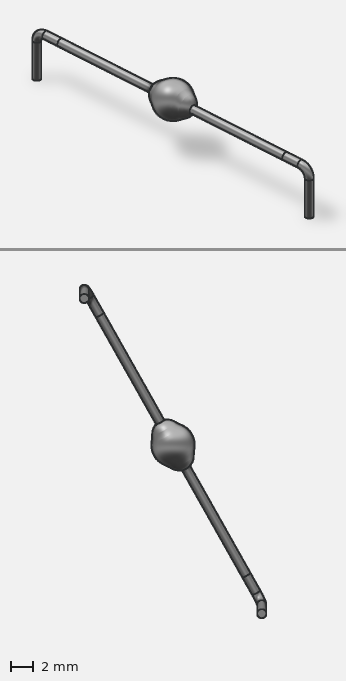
import cadquery as cq
import math

span = 32.8
height = 6.92
bead_diameter = 3.8

wire_diameter = 0.82
bend_radius = 1.02
end_piece_length = 1.77

bead_length = 4.65
crown_half_width = 1.18
shoulder_offset = 1.7
shoulder_radius = 1.15

wire_radius = wire_diameter / 2
bead_radius = bead_diameter / 2
crown_angle = math.asin(crown_half_width / bead_radius)
crown_edge_radius = bead_radius * math.cos(crown_angle)
foot_z = bead_radius - height
leg_x = span / 2 - wire_radius
elbow_x = leg_x - bend_radius
core_half_length = elbow_x - end_piece_length
leg_length = -bend_radius - foot_z


def make_rod_along_x(start_x, length):
    """Round rod on the X axis."""
    return cq.Workplane("YZ", origin=(start_x, 0, 0)).circle(wire_radius).extrude(length)


def make_core_wire():
    """Straight wire that runs through the bead."""
    return make_rod_along_x(-core_half_length, 2 * core_half_length)


def make_half_bead(side):
    """Half of the bead: spherical crown, hollow shoulder and rounded cap, each tangent to the next."""
    half_length = bead_length / 2
    crown_middle = bead_radius * math.sin(crown_angle / 2)
    crown_middle_radius = bead_radius * math.cos(crown_angle / 2)
    return (
        cq.Workplane("XY")
        .moveTo(0, wire_radius)
        .lineTo(0, bead_radius)
        .threePointArc(
            (side * crown_middle, crown_middle_radius),
            (side * crown_half_width, crown_edge_radius),
        )
        .tangentArcPoint((side * shoulder_offset, shoulder_radius), relative=False)
        .tangentArcPoint((side * half_length, wire_radius), relative=False)
        .close()
        .revolve(360, (0, 0, 0), (1, 0, 0))
    )


def make_bead():
    """Bead on the middle of the wire, with a bore that fits the wire."""
    return make_half_bead(-1).union(make_half_bead(1))


def make_end_piece(side):
    """Short straight piece between the core wire and an elbow; side is -1 or +1."""
    return make_rod_along_x(side * core_half_length, side * end_piece_length)


def make_elbow(side):
    """Quarter bend from the wire axis down to the leg."""
    return (
        cq.Workplane("YZ", origin=(side * elbow_x, 0, 0))
        .circle(wire_radius)
        .revolve(90, (0, -bend_radius, 0), (side, -bend_radius, 0))
    )


def make_leg(side):
    """Vertical leg below an elbow."""
    return cq.Workplane("XY", origin=(side * leg_x, 0, foot_z)).circle(wire_radius).extrude(leg_length)


core_wire = make_core_wire()
bead = make_bead()
bodies = [core_wire.val(), bead.val()]
for side in (-1, 1):
    end_piece = make_end_piece(side)
    elbow = make_elbow(side)
    leg = make_leg(side)
    bodies += [end_piece.val(), elbow.val(), leg.val()]

result = cq.Compound.makeCompound(bodies)